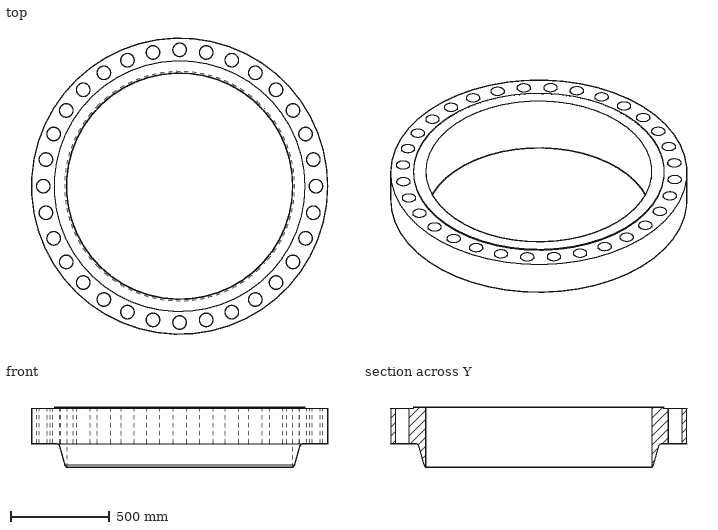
import cadquery as cq

flange_diameter = 1511.0
total_height = 307.0
raised_face_diameter = 1279.0
raised_face_height = 6.0
flange_thickness = 181.0
bore_diameter = 1152.0
hub_base_diameter = 1233.0
hub_fillet_radius = 18.0
weld_end_diameter = 1173.0
weld_bevel_height = 10.0
weld_land_width = 3.0
selection_margin = 8.0
bolt_count = 32
bolt_circle_diameter = 1390.0
bolt_hole_diameter = 68.0

flange_radius = flange_diameter / 2
face_radius = raised_face_diameter / 2
bore_radius = bore_diameter / 2
hub_base_radius = hub_base_diameter / 2
weld_end_radius = weld_end_diameter / 2
flange_top = total_height - raised_face_height
flange_bottom = flange_top - flange_thickness


def make_body():
    """Revolve the flange, raised face and tapered hub about Z, then fillet the hub root."""
    profile = [
        (bore_radius, 0),
        (bore_radius + weld_land_width, 0),
        (weld_end_radius, weld_bevel_height),
        (hub_base_radius, flange_bottom),
        (flange_radius, flange_bottom),
        (flange_radius, flange_top),
        (face_radius, flange_top),
        (face_radius, total_height),
        (bore_radius, total_height),
    ]
    body = cq.Workplane("XZ").polyline(profile).close().revolve(360, (0, 0, 0), (0, 1, 0))
    reach = hub_base_radius + selection_margin
    hub_corner = cq.selectors.BoxSelector(
        (-reach, -reach, flange_bottom - selection_margin),
        (reach, reach, flange_bottom + selection_margin),
        boundingbox=True,
    )
    return body.edges(hub_corner).fillet(hub_fillet_radius)


def make_bolt_holes():
    """Cylinders for the evenly spaced bolt holes, one of them on +X."""
    return (
        cq.Workplane("XY")
        .polarArray(bolt_circle_diameter / 2, 0, 360, bolt_count)
        .circle(bolt_hole_diameter / 2)
        .extrude(total_height)
    )


result = make_body().cut(make_bolt_holes())